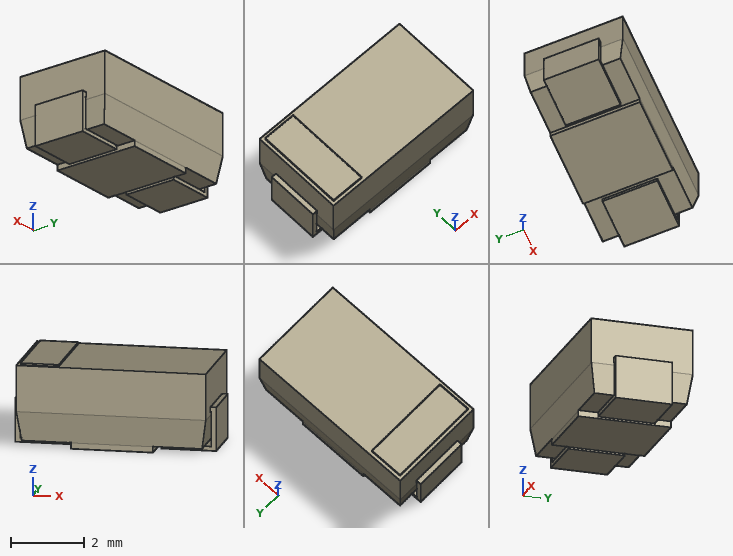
import cadquery as cq

TOTAL_LENGTH = 5.59
TOTAL_HEIGHT = 2.35

HOUSING_LENGTH = 5.27
HOUSING_WIDTH = 2.92
TAPER_INSET = 0.13
PAD_LENGTH = 2.28
PAD_HEIGHT = 0.175
TAPER_TOP_Z = 1.01

MARK_HEIGHT = 0.05
MARK_LENGTH = 1.055
MARK_MARGIN = 0.105

LEAD_WIDTH = 1.625
LEAD_HEIGHT = 1.225
LEAD_FOOT_LENGTH = 1.52
LEAD_WALL = 0.14
LEAD_FOOT_THICKNESS = 0.125
LEAD_TAB_THICKNESS = 0.14

HOUSING_TOP_Z = TOTAL_HEIGHT - MARK_HEIGHT
BASE_LENGTH = HOUSING_LENGTH - 2 * TAPER_INSET
BASE_WIDTH = HOUSING_WIDTH - 2 * TAPER_INSET


def block(length, width, bottom_z, top_z):
    """Box centred on the Z axis between two heights."""
    return (
        cq.Workplane("XY")
        .workplane(offset=bottom_z)
        .rect(length, width)
        .extrude(top_z - bottom_z)
    )


def make_housing():
    """Moulded housing, with its stand-off pad as wide as the tapered base."""
    upper = block(HOUSING_LENGTH, HOUSING_WIDTH, TAPER_TOP_Z, HOUSING_TOP_Z)
    lower = (
        cq.Workplane("XY")
        .workplane(offset=PAD_HEIGHT)
        .rect(BASE_LENGTH, BASE_WIDTH)
        .workplane(offset=TAPER_TOP_Z - PAD_HEIGHT)
        .rect(HOUSING_LENGTH, HOUSING_WIDTH)
        .loft(ruled=True)
    )
    pad = block(PAD_LENGTH, BASE_WIDTH, 0, PAD_HEIGHT)
    return upper.union(lower).union(pad)


def make_mark():
    """Thin polarity plate resting on the top face near the -X end."""
    mark_width = HOUSING_WIDTH - 2 * MARK_MARGIN
    mark_center_x = -HOUSING_LENGTH / 2 + MARK_MARGIN + MARK_LENGTH / 2
    mark = block(MARK_LENGTH, mark_width, HOUSING_TOP_Z, TOTAL_HEIGHT)
    return mark.translate((mark_center_x, 0, 0))


def make_lead(side):
    """Bent lead at one end (side is -1 or +1): foot, wall and a tab that meets the housing."""
    outer_x = side * TOTAL_LENGTH / 2
    wall_x = outer_x - side * LEAD_WALL
    foot_x = outer_x - side * LEAD_FOOT_LENGTH
    housing_x = side * HOUSING_LENGTH / 2
    tab_bottom_z = LEAD_HEIGHT - LEAD_TAB_THICKNESS
    profile = [
        (outer_x, 0),
        (outer_x, LEAD_HEIGHT),
        (housing_x, LEAD_HEIGHT),
        (housing_x, tab_bottom_z),
        (wall_x, tab_bottom_z),
        (wall_x, LEAD_FOOT_THICKNESS),
        (foot_x, LEAD_FOOT_THICKNESS),
        (foot_x, 0),
    ]
    return cq.Workplane("XZ").polyline(profile).close().extrude(LEAD_WIDTH / 2, both=True)


housing = make_housing()
mark = make_mark()
leads = [make_lead(side) for side in (-1, 1)]

result = cq.Compound.makeCompound([housing.val(), mark.val(), *[lead.val() for lead in leads]])